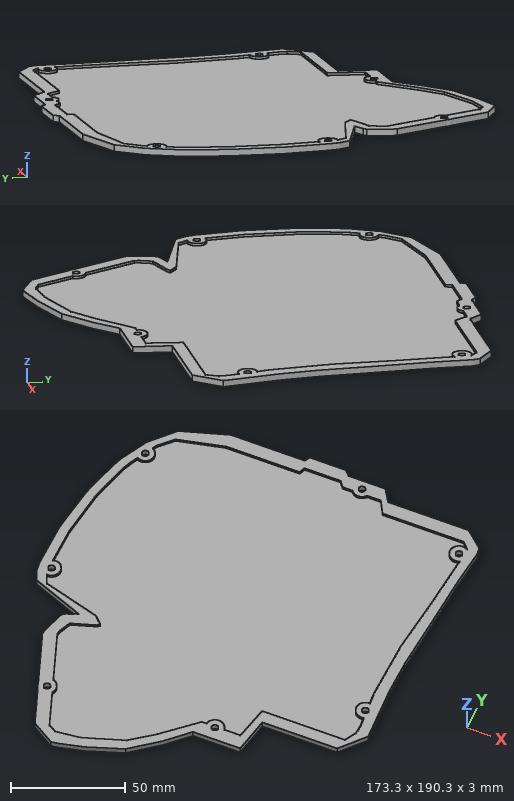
import cadquery as cq

PLATE_THICKNESS = 3.0
RECESS_DEPTH = 1.1
SCREW_HOLE_DIAMETER = 3.0
PAD_DIAMETER = 8.5

SCREW_POSITIONS = [
    (112.6, 183.5),
    (166.0, 167.8),
    (163.6, 71.7),
    (107.3, 36.3),
    (30.8, 27.8),
    (6.0, 88.5),
    (17.9, 163.3),
]

OUTER_CORNERS = [
    (45.0, 0),
    (34.3, 6.7),
    (17.1, 53.5),
    (17.3, 56.0),
    (20.4, 66.5),
    (21.7, 67.5),
    (27.4, 69.8),
    (2.9, 79.5),
    (0.5, 84.9),
    (0, 89.5),
    (0, 110.0),
    (0.5, 115.3),
    (2.7, 131.5),
    (3.6, 136.6),
    (7.8, 152.0),
    (9.3, 156.5),
    (15.8, 169.2),
    (25.9, 180.4),
    (48.1, 187.8),
    (83.3, 187.8),
    (84.5, 190.3),
    (102.0, 190.3),
    (104.3, 187.8),
    (122.0, 187.8),
    (126.0, 181.5),
    (164.5, 181.5),
    (172.8, 174.3),
    (173.3, 170.9),
    (171.8, 154.1),
    (170.3, 125.5),
    (169.0, 102.8),
    (169.0, 85.6),
    (170.7, 59),
    (161.0, 47.4),
    (125.2, 47.4),
    (122.2, 30.3),
    (99.5, 30.3),
    (89.6, 20.4),
    (76.5, 9.7),
    (59.5, 3.5),
    (48.3, 0.5),
]

RECESS_CORNERS = [
    (44.3, 6.0),
    (40.5, 8.4),
    (23.2, 56.0),
    (23.5, 58.0),
    (25.9, 63.5),
    (37.0, 67.4),
    (38.5, 68.3),
    (37.3, 69.5),
    (34.8, 72.0),
    (7.8, 79.7),
    (5.7, 84.0),
    (5.0, 88.5),
    (5.0, 110.4),
    (7.6, 132.8),
    (8.5, 137),
    (12.5, 152.2),
    (14.5, 156.8),
    (20.7, 169.2),
    (26.8, 175.6),
    (48.7, 181.0),
    (84.0, 181.0),
    (84.9, 183.8),
    (102.2, 183.8),
    (104.5, 181.0),
    (122.7, 181.0),
    (126.3, 174.7),
    (165.2, 174.7),
    (168.4, 171.3),
    (166.0, 137),
    (163.5, 110.4),
    (163.3, 81.8),
    (165.2, 62.8),
    (165.0, 58.5),
    (162.1, 53.0),
    (122.5, 53.0),
    (119.3, 37.0),
    (100.8, 37.0),
    (85.5, 22.5),
    (75.0, 14.3),
    (60.1, 9.0),
    (55.5, 7.5),
]


def prism(corners, base_height, height):
    """Straight-sided block over a polygon."""
    return cq.Workplane("XY").workplane(offset=base_height).polyline(corners).close().extrude(height)


def cylinders(diameter):
    """One cylinder through the full thickness at every screw position."""
    return cq.Workplane("XY").pushPoints(SCREW_POSITIONS).circle(diameter / 2).extrude(PLATE_THICKNESS)


plate = prism(OUTER_CORNERS, 0, PLATE_THICKNESS)
recess = prism(RECESS_CORNERS, PLATE_THICKNESS - RECESS_DEPTH, RECESS_DEPTH)

result = plate.cut(recess).union(cylinders(PAD_DIAMETER)).cut(cylinders(SCREW_HOLE_DIAMETER))